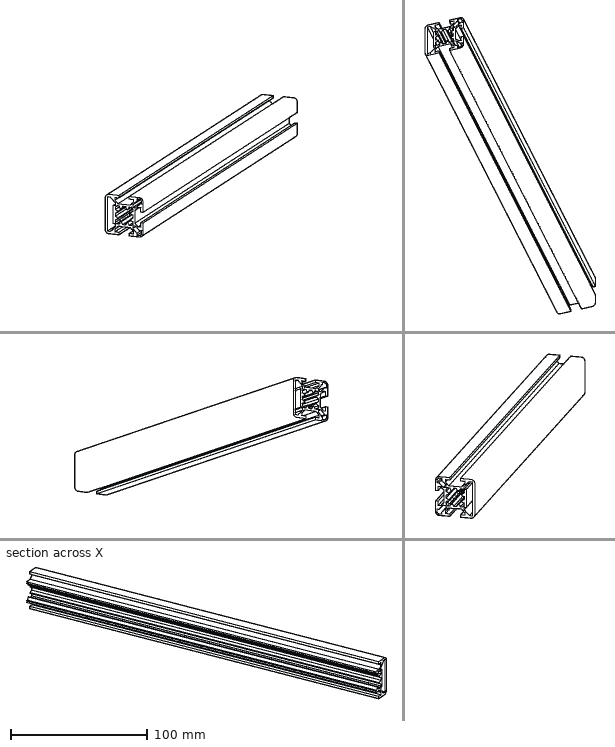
import cadquery as cq

length = 300
side = 30
corner_radius = 3.0
lip_thickness = 1.95
plain_wall_thickness = 1.8
corner_wall_thickness = 1.2

slot_width = 8.0
slot_chamber_width = 14.7

core_width = 17.0
core_wall_thickness = 1.65
bore_chamfer = 1.2

spoke_hollow_offset = 2.0
spoke_rise = 1.65
spoke_slot_offset = spoke_hollow_offset + spoke_rise

hollow_start = 10.2

tooth_spacing = 5.0
tooth_base_width = 3.0
tooth_tip_width = 0.5
tooth_height = 2.0

half_side = side / 2
lip_inside = half_side - lip_thickness
plain_wall_inside = half_side - plain_wall_thickness
half_core = core_width / 2
half_bore = half_core - core_wall_thickness
quarter_turn = 90


def extrude_section(sketch):
    """Extrude an XZ section over the whole length."""
    return sketch.extrude(length / 2, both=True)


def prism(points):
    """Full-length bar with a polygonal section given as (x, z) points."""
    return extrude_section(cq.Workplane("XZ").polyline(points).close())


def turned(body, quarter_turns):
    """Turn a body about the Y axis; each quarter turn takes +Z to +X."""
    return body.rotate((0, 0, 0), (0, 1, 0), quarter_turn * quarter_turns)


def t_slot():
    """T-slot open to +Z, its chamber narrowing along the spokes to the core."""
    half_slot = slot_width / 2
    half_chamber = slot_chamber_width / 2
    right_half = [
        (half_slot, half_side),
        (half_slot, lip_inside),
        (half_chamber, lip_inside),
        (half_chamber, half_chamber + spoke_slot_offset),
        (half_core - spoke_slot_offset, half_core),
    ]
    left_half = [(-x, z) for x, z in reversed(right_half)]
    return prism(right_half + left_half)


def side_cavity():
    """Closed cavity between the plain -X wall and the core."""
    upper_half = [
        (-half_core, half_bore),
        (-half_bore, half_bore),
        (-half_bore, half_bore + spoke_hollow_offset),
        (spoke_hollow_offset - lip_inside, lip_inside),
        (-plain_wall_inside, lip_inside),
    ]
    lower_half = [(x, -z) for x, z in reversed(upper_half)]
    return prism(upper_half + lower_half)


def corner_hollow():
    """Hollow between the two spokes of the +X +Z corner, rounded like the outside."""
    hollow_outside = half_side - corner_wall_thickness
    above_diagonal = [
        (half_bore, half_bore + spoke_hollow_offset),
        (hollow_start, hollow_start + spoke_hollow_offset),
        (hollow_start, hollow_outside),
    ]
    below_diagonal = [(z, x) for x, z in reversed(above_diagonal)]
    outline = [(half_bore, half_bore)] + above_diagonal
    outline += [(hollow_outside, hollow_outside)] + below_diagonal
    return prism(outline).edges("|Y and >(1, 0, 1)").fillet(corner_radius - corner_wall_thickness)


def core_bore():
    """Square bore with chamfered corners."""
    bore = extrude_section(cq.Workplane("XZ").rect(2 * half_bore, 2 * half_bore))
    return bore.edges("|Y").chamfer(bore_chamfer)


def tooth(x_centre):
    """Tooth hanging from the +Z core wall, rooted in the wall's mid-plane."""
    root = half_bore + core_wall_thickness / 2
    tip = half_bore - tooth_height
    half_base = tooth_base_width / 2
    half_tip = tooth_tip_width / 2
    return prism([
        (x_centre - half_base, root),
        (x_centre - half_base, half_bore),
        (x_centre - half_tip, tip),
        (x_centre + half_tip, tip),
        (x_centre + half_base, half_bore),
        (x_centre + half_base, root),
    ])


profile = extrude_section(cq.Workplane("XZ").rect(side, side))
profile = profile.edges("|Y").fillet(corner_radius)

for quarter_turns in (0, 1, 2):
    profile = profile.cut(turned(t_slot(), quarter_turns))

for quarter_turns in (0, 1):
    profile = profile.cut(turned(corner_hollow(), quarter_turns))

profile = profile.cut(side_cavity()).cut(core_bore())

for quarter_turns in range(4):
    for x_centre in (-tooth_spacing / 2, tooth_spacing / 2):
        profile = profile.union(turned(tooth(x_centre), quarter_turns))

result = profile